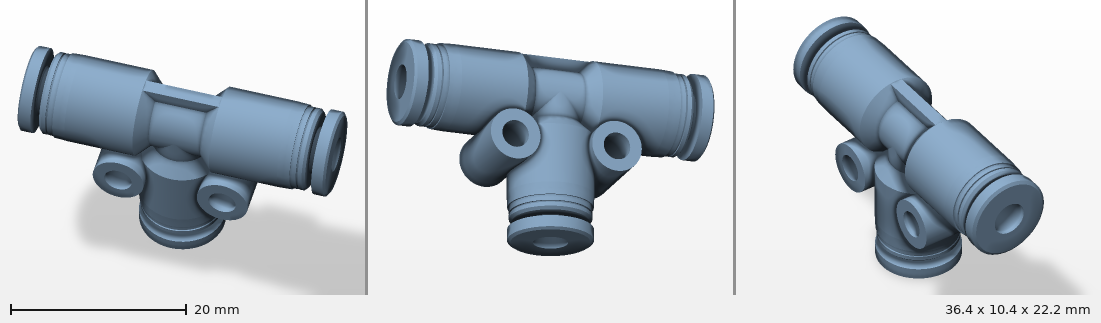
import cadquery as cq


run_length = 36.4
body_diameter = 10.0
total_height = 22.2
body_radius = body_diameter / 2
run_reach = run_length / 2
branch_reach = total_height - body_radius

waist_radius = 3.5
shoulder_start = 3.02
shoulder_length = body_radius - waist_radius

flange_thickness = 1.6
collar_start = 2.48
groove_start = 3.28
groove_width = 0.22
body_start = 4.2
taper_length = 1.45

flange_radius = 4.95
flange_edge_length = 0.25
flange_edge_depth = 0.35
neck_radius = 2.73
neck_chamfer = 0.2
collar_radius = 4.77
collar_chamfer = 0.33
groove_depth = 0.2
taper_depth = 0.07
bore_diameter = 4.0

rib_width = 1.53
rib_top = 4.9

lug_diameter = 6.0
lug_hole_diameter = 3.2
lug_length = 10.4
lug_offset_x = 6.15
lug_offset_z = -6.48


def make_arm(reach, direction):
    """Solid of revolution from the tee centre out to an open end at the given reach."""
    groove_end = groove_start + groove_width
    groove_radius = collar_radius - groove_depth
    end_profile = [
        (0, 0),
        (flange_radius - flange_edge_depth, 0),
        (flange_radius, flange_edge_length),
        (flange_radius, flange_thickness),
        (neck_radius + neck_chamfer, flange_thickness),
        (neck_radius, flange_thickness + neck_chamfer),
        (neck_radius, collar_start),
        (collar_radius - collar_chamfer, collar_start),
        (collar_radius, collar_start + collar_chamfer),
        (collar_radius, groove_start),
        (groove_radius, groove_start),
        (groove_radius, groove_end),
        (collar_radius, groove_end),
        (collar_radius, body_start),
        (body_radius - taper_depth, body_start),
        (body_radius, body_start + taper_length),
    ]
    waist_profile = [
        (body_radius, shoulder_start + shoulder_length),
        (waist_radius, shoulder_start),
        (waist_radius, 0),
        (0, 0),
    ]
    profile = [(radius, reach - inset) for radius, inset in end_profile] + waist_profile
    radial = cq.Vector(0, 1, 0)
    axial = cq.Vector(direction)
    plane = cq.Plane(origin=(0, 0, 0), xDir=radial, normal=radial.cross(axial))
    return cq.Workplane(plane).polyline(profile).close().revolve(360, (0, 0, 0), (0, 1, 0))


def make_bore(reach, direction):
    """Round passage from the tee centre out through an open end."""
    plane = cq.Plane(origin=(0, 0, 0), normal=direction)
    return cq.Workplane(plane).circle(bore_diameter / 2).extrude(reach)


def make_lug_cylinder(side, diameter):
    """Cylinder along Y on a lug axis, on the +X or -X side of the branch."""
    return (
        cq.Workplane("XZ")
        .center(side * lug_offset_x, lug_offset_z)
        .circle(diameter / 2)
        .extrude(lug_length / 2, both=True)
    )


def make_rib():
    """Flat-topped rib joining the two run bodies over the waist."""
    half_length = shoulder_start + shoulder_length
    return cq.Workplane("XY").rect(2 * half_length, rib_width).extrude(rib_top)


arms = [
    (run_reach, (1, 0, 0)),
    (run_reach, (-1, 0, 0)),
    (branch_reach, (0, 0, -1)),
]
lug_sides = (-1, 1)

result = make_rib()
for reach, direction in arms:
    result = result.union(make_arm(reach, direction))
for side in lug_sides:
    result = result.union(make_lug_cylinder(side, lug_diameter))
for reach, direction in arms:
    result = result.cut(make_bore(reach, direction))
for side in lug_sides:
    result = result.cut(make_lug_cylinder(side, lug_hole_diameter))